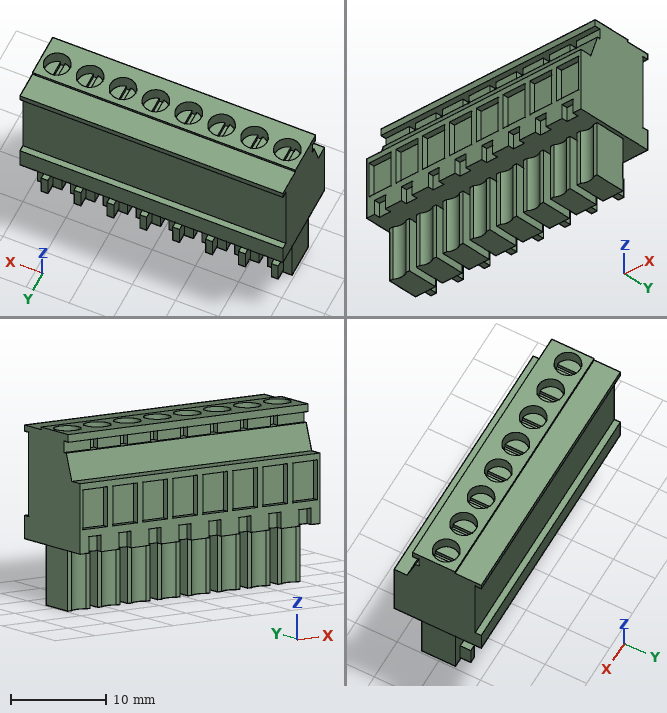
import cadquery as cq


length = 30.48
position_count = 8
pitch = length / position_count
position_centres = [(i - (position_count - 1) / 2) * pitch for i in range(position_count)]
position_boundaries = [x + pitch / 2 for x in position_centres[:-1]]

depth = 10.45
overall_height = 19.1
plug_length = 6.65
body_height = overall_height - plug_length
shoulder_height = 7.55
slope_foot_y = 1.55
slope_top_y = 2.6
ledge_height = 10.42
neck_y = 3.0
lip_front_y = 2.23
lip_underside = 11.65
top_step_y = 7.3
top_step = 0.27
rear_inset = 0.73
rear_lip_underside = 11.52
rear_foot_height = 2.5

neck_notch_width = 0.88
neck_notch_depth = 0.75

front_recess_depth = 0.75
window_width = 3.1
window_bottom = 2.6
window_height = 4.27
lower_notch_width = 1.52
lower_notch_height = 1.77

plug_width = 2.83
plug_front_y = 3.05
plug_back_y = 7.1
groove_width = 1.83
groove_depth = 0.3
latch_width = 0.8
latch_depth = 1.28
latch_height = 2.32
latch_lift = 0.3

screw_diameter = 2.9
screw_y = 5.2
screw_sink = 1.5
screw_length = 2.0
screw_slot_width = 0.52
screw_slot_depth = 0.5

screw_top = body_height - screw_sink
screw_bottom = screw_top - screw_length


def box(x_centre, width, y_front, y_size, z_bottom, z_size):
    """Box centred on x_centre, starting at y_front and z_bottom."""
    corner = (x_centre - width / 2, y_front, z_bottom)
    return cq.Workplane("XY").box(width, y_size, z_size, centered=False).translate(corner)


def make_body():
    """Housing profile with lips and a sloped shoulder, extruded along the row."""
    rear_wall_y = depth - rear_inset
    profile = [
        (0, 0),
        (0, shoulder_height),
        (slope_foot_y, shoulder_height),
        (slope_top_y, ledge_height),
        (neck_y, ledge_height),
        (neck_y, lip_underside),
        (lip_front_y, lip_underside),
        (lip_front_y, body_height),
        (top_step_y, body_height),
        (top_step_y, body_height - top_step),
        (depth, body_height - top_step),
        (depth, rear_lip_underside),
        (rear_wall_y, rear_lip_underside),
        (rear_wall_y, rear_foot_height),
        (depth, rear_foot_height),
        (depth, 0),
    ]
    return cq.Workplane("YZ").polyline(profile).close().extrude(length / 2, both=True)


def make_plug(x):
    """Plug with a rounded groove down its front and a latch block on its back."""
    left = x - plug_width / 2
    right = x + plug_width / 2
    plug = (
        cq.Workplane("XY")
        .moveTo(left, plug_back_y)
        .lineTo(left, plug_front_y)
        .lineTo(x - groove_width / 2, plug_front_y)
        .threePointArc((x, plug_front_y + groove_depth), (x + groove_width / 2, plug_front_y))
        .lineTo(right, plug_front_y)
        .lineTo(right, plug_back_y)
        .close()
        .extrude(-plug_length)
    )
    latch = box(x, latch_width, plug_back_y, latch_depth, latch_lift - plug_length, latch_height)
    return plug.union(latch)


def make_screw_cylinder(x, height):
    """Cylinder of the screw diameter, standing on the bottom of a screw hole."""
    return (
        cq.Workplane("XY", origin=(x, screw_y, screw_bottom))
        .circle(screw_diameter / 2)
        .extrude(height)
    )


def make_housing():
    """Body with its front recesses, screw holes, neck notches and plugs."""
    housing = make_body()
    for x in position_centres:
        window = box(x, window_width, 0, front_recess_depth, window_bottom, window_height)
        lower_notch = box(x, lower_notch_width, 0, front_recess_depth, 0, lower_notch_height)
        screw_hole = make_screw_cylinder(x, body_height - screw_bottom)
        housing = housing.cut(window).cut(lower_notch).cut(screw_hole).union(make_plug(x))
    for x in position_boundaries:
        neck_notch = box(
            x, neck_notch_width, neck_y, neck_notch_depth, ledge_height, lip_underside - ledge_height
        )
        housing = housing.cut(neck_notch)
    return housing


def make_screw(x):
    """Slotted screw whose head lies below the top of the housing."""
    slot = box(
        x,
        screw_slot_width,
        screw_y - screw_diameter / 2,
        screw_diameter,
        screw_top - screw_slot_depth,
        screw_slot_depth,
    )
    return make_screw_cylinder(x, screw_length).cut(slot)


housing = make_housing()
screws = [make_screw(x) for x in position_centres]

result = cq.Compound.makeCompound([housing.val(), *[screw.val() for screw in screws]])